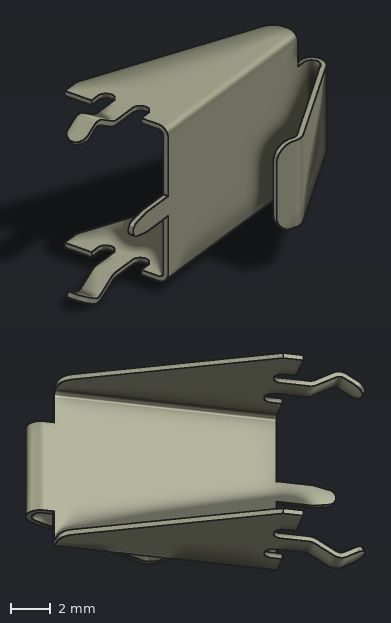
import cadquery as cq
import math

thickness = 0.3
inner_bend = 0.3
outer_bend = inner_bend + thickness

web_length = 11.45
channel_height = 9.17
wing_width = 6.33
wing_knee = 1.06
wing_corner_radius = 1.06
slope_angle = 25.0

tongue_width = 1.2
tongue_x = -wing_width / 2
slot_width = 0.91
slot_depth = 1.05
tongue_flat = 0.86
tongue_angle = 30.0
tongue_root_radius = 0.75
tongue_crest_radius = 0.55
tongue_ramp = 1.11
tongue_return = 0.53
tongue_tip = 0.7

pin_width = 1.16
pin_neck_width = 0.83
pin_straight = 1.9
pin_neck = 2.72
pin_length = 3.07

spring_width = 5.08
spring_rise = 0.53
spring_loop_radius = 0.6
spring_lean = slope_angle
spring_length = 6.8
spring_bend_radius = 0.75
lip_turn = -45.0
lip_length = 1.2
lip_corner_radius = 1.0


def bent_strip(plane, start, heading, steps, width, end_length, end_radius):
    """Follow the mid-line of a bent strip and finish it with a flat, round-cornered end.

    Steps are (length, turn): a straight run when turn is 0, otherwise an arc
    of radius `length` turning by `turn` degrees, counter-clockwise positive.
    """
    x, y = start
    angle = math.radians(heading)
    strip = None

    def beside(point, direction, offset):
        return (point[0] - offset * math.sin(direction), point[1] + offset * math.cos(direction))

    half = thickness / 2
    for length, turn in steps:
        begin, begin_angle = (x, y), angle
        if turn == 0:
            x += length * math.cos(angle)
            y += length * math.sin(angle)
            section = (
                cq.Workplane(plane)
                .moveTo(*beside(begin, angle, half))
                .lineTo(*beside((x, y), angle, half))
                .lineTo(*beside((x, y), angle, -half))
                .lineTo(*beside(begin, angle, -half))
            )
        else:
            side = math.copysign(length, turn)
            center = beside(begin, begin_angle, side)
            middle_angle = begin_angle + math.radians(turn) / 2
            angle = begin_angle + math.radians(turn)
            x, y = beside(center, angle, -side)
            section = (
                cq.Workplane(plane)
                .moveTo(*beside(begin, begin_angle, half))
                .threePointArc(beside(center, middle_angle, half - side), beside((x, y), angle, half))
                .lineTo(*beside((x, y), angle, -half))
                .threePointArc(
                    beside(center, middle_angle, -half - side), beside(begin, begin_angle, -half)
                )
            )
        piece = section.close().extrude(width / 2, both=True)
        strip = piece if strip is None else strip.union(piece)

    along = plane.xDir * math.cos(angle) + plane.yDir * math.sin(angle)
    across = plane.yDir * math.cos(angle) - plane.xDir * math.sin(angle)
    end_plane = cq.Plane(plane.toWorldCoords((x, y)), along, across)
    end = (
        cq.Workplane(end_plane)
        .center(end_length / 2, 0)
        .rect(end_length, width)
        .extrude(thickness / 2, both=True)
        .edges(cq.selectors.ParallelDirSelector(across))
        .edges(cq.selectors.DirectionMinMaxSelector(along))
        .fillet(end_radius)
    )
    return strip.union(end)


def make_channel():
    outside = (
        cq.Workplane("XY")
        .box(wing_width, web_length, channel_height, centered=(False, False, True))
        .translate((-wing_width, 0, 0))
        .edges("|Y and >X")
        .fillet(outer_bend)
    )
    inside = (
        cq.Workplane("XY")
        .box(wing_width, web_length, channel_height - 2 * thickness, centered=(False, False, True))
        .translate((-wing_width - thickness, 0, 0))
        .edges("|Y and >X")
        .fillet(inner_bend)
    )
    slope_run = (web_length - wing_knee) * math.tan(math.radians(slope_angle))
    wing_outline = (
        cq.Workplane("XY")
        .polyline([
            (0, 0),
            (-wing_width, 0),
            (-wing_width, wing_knee),
            (slope_run - wing_width, web_length),
            (0, web_length),
        ])
        .close()
        .extrude(channel_height / 2, both=True)
    )
    upper_corner = cq.selectors.NearestToPointSelector((slope_run - wing_width, web_length, 0))
    wing_outline = wing_outline.edges(upper_corner).fillet(wing_corner_radius)
    return outside.cut(inside).intersect(wing_outline)


def make_relief_slot(x):
    radius = slot_width / 2
    return (
        cq.Workplane("XY")
        .moveTo(x - radius, 0)
        .lineTo(x - radius, slot_depth - radius)
        .threePointArc((x, slot_depth), (x + radius, slot_depth - radius))
        .lineTo(x + radius, 0)
        .close()
        .extrude(channel_height, both=True)
    )


def make_tongue():
    plane = cq.Plane.YZ(origin=(tongue_x, 0, 0))
    start = (0, (channel_height - thickness) / 2)
    steps = [
        (tongue_flat, 0),
        (tongue_root_radius, -tongue_angle),
        (tongue_ramp, 0),
        (tongue_crest_radius, 2 * tongue_angle),
        (tongue_return, 0),
    ]
    tip_radius = 0.499 * tongue_width
    return bent_strip(plane, start, 180, steps, tongue_width, tongue_tip, tip_radius)


def make_pin():
    return (
        cq.Workplane("YZ")
        .moveTo(0, pin_width / 2)
        .lineTo(-pin_straight, pin_width / 2)
        .lineTo(-pin_neck, pin_neck_width / 2)
        .threePointArc((-pin_length, 0), (-pin_neck, -pin_neck_width / 2))
        .lineTo(-pin_straight, -pin_width / 2)
        .lineTo(0, -pin_width / 2)
        .close()
        .extrude(-thickness)
    )


def make_spring():
    start = (-thickness / 2, web_length)
    steps = [
        (spring_rise, 0),
        (spring_loop_radius, spring_lean - 180),
        (spring_length, 0),
        (spring_bend_radius, lip_turn),
    ]
    return bent_strip(cq.Plane.XY(), start, 90, steps, spring_width, lip_length, lip_corner_radius)


result = make_channel()
slot_offset = (tongue_width + slot_width) / 2
for side in (-1, 1):
    result = result.cut(make_relief_slot(tongue_x + side * slot_offset))

tongue = make_tongue()
result = result.union(tongue).union(tongue.mirror("XY"))
result = result.union(make_pin()).union(make_spring())